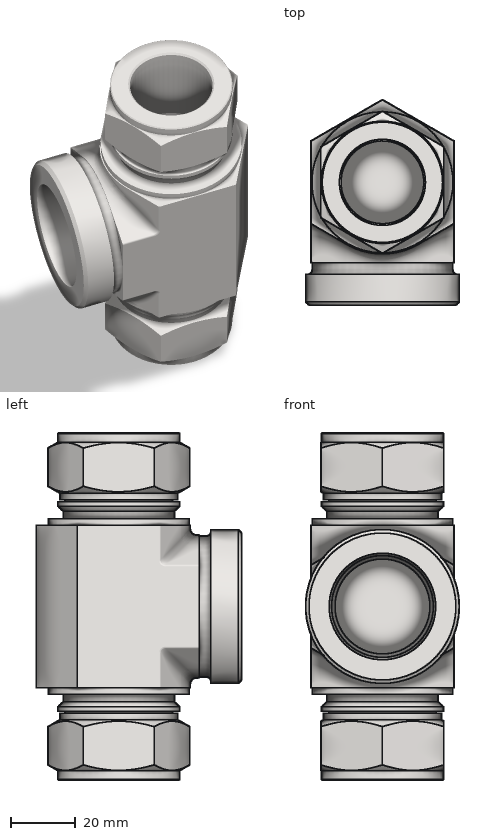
import cadquery as cq
import math


body_flats = 44.3
body_height = 50.3
body_front = 24.8
edge_radius = 0.6
valley_radius = 3.5 / 2
flat_angle = 30

overall_height = 107.5
flange_diameter = 43.6
flange_top = 27.2
neck_diameter = 34.5
neck_top = 29.5
collar_diameter = 37.8
collar_cone_top = 31.1
collar_top = 32.5
groove_diameter = 33.3
groove_top = 33.0
nut_base_diameter = 36.5
nut_bottom = 35.0
nut_top = 50.7
nut_flats = 38.0
nut_rim_diameter = 37.8
nut_rim_chamfer = 0.3
run_bore_diameter = 25.6
run_bore_chamfer = 0.5
run_bore_depth = 26.9

branch_end = 38.0
hub_diameter = 43.6
hub_end = 27.1
hub_fillet_radius = 2.7 / 2
ring_diameter = 47.6
ring_chamfer = 1.1
thread_mouth_diameter = 33.0
thread_end_diameter = 31.5
thread_depth = 20.9
branch_bore_diameter = 29.3
branch_bore_depth = 26.9

flat_slope = math.tan(math.radians(flat_angle))
shoulder = body_flats / 2 * flat_slope


def rounded_bar(length):
    """Bar along Z: straight sides, and a front toward -Y of two flats joined by a tangent arc."""
    half = body_flats / 2
    tangent_x = half * math.sin(math.radians(flat_angle))
    tangent_y = half * math.cos(math.radians(flat_angle))
    return (
        cq.Workplane("XY")
        .moveTo(-half, 0)
        .lineTo(-half, -shoulder)
        .lineTo(-tangent_x, -tangent_y)
        .threePointArc((0, -half), (tangent_x, -tangent_y))
        .lineTo(half, -shoulder)
        .lineTo(half, 0)
        .close()
        .extrude(length)
    )


def in_valley(edge):
    """True for an edge where the run and branch surfaces cross, at equal distances along -Y and Z."""
    tolerance = 0.01
    points = [edge.positionAt(t) for t in (0, 0.5, 1)]
    return all(p.y < -tolerance and abs(abs(p.z) + p.y) < tolerance for p in points)


def make_body():
    """Hexagonal bar with a branch of the same section, filleted where the two meet."""
    half = body_flats / 2
    run = rounded_bar(body_height).translate((0, 0, -body_height / 2))
    branch_half = rounded_bar(body_front).rotate((0, 0, 0), (1, 0, 0), 90)
    front = run.union(branch_half).union(branch_half.mirror("XY"))

    valleys = [edge for edge in front.edges().vals() if in_valley(edge)]
    front = front.newObject(valleys).fillet(valley_radius)

    margin = 0.1
    for side in (-1, 1):
        side_edges = cq.selectors.BoxSelector(
            (side * half - margin, -body_front + margin, -body_height / 2 + margin),
            (side * half + margin, -margin, body_height / 2 - margin),
        )
        front = front.edges(side_edges).fillet(edge_radius)

    back = (
        cq.Workplane("XY")
        .polyline([(-half, 0), (half, 0), (half, shoulder), (0, 2 * shoulder), (-half, shoulder)])
        .close()
        .extrude(body_height / 2, both=True)
    )
    return front.union(back)


def revolve_profile(points):
    """Solid of revolution about Z from (diameter, height) points, closed along the axis."""
    outline = [(diameter / 2, height) for diameter, height in points]
    ends = [(0, outline[-1][1]), (0, outline[0][1])]
    return cq.Workplane("XZ").polyline(outline + ends).close().revolve(360, (0, 0, 0), (0, 1, 0))


def make_nut():
    """Hexagon nut with a corner pointing along Y and both ends turned to 30 degree cones."""
    corner_diameter = nut_flats / math.cos(math.radians(flat_angle))
    lower_cone = (corner_diameter - nut_base_diameter) / 2 * flat_slope
    upper_cone = (corner_diameter - nut_rim_diameter) / 2 * flat_slope
    hexagon = (
        cq.Workplane("XY", origin=(0, 0, nut_bottom))
        .polygon(6, corner_diameter)
        .extrude(nut_top - nut_bottom)
        .rotate((0, 0, 0), (0, 0, 1), flat_angle)
    )
    cones = revolve_profile([
        (nut_base_diameter, nut_bottom),
        (corner_diameter, nut_bottom + lower_cone),
        (corner_diameter, nut_top - upper_cone),
        (nut_rim_diameter, nut_top),
    ])
    return hexagon.intersect(cones)


def make_run_end():
    """Flange, grooved neck, nut and rim of the upper run end, with its blind tube bore."""
    top = overall_height / 2
    turned = revolve_profile([
        (flange_diameter, body_height / 2),
        (flange_diameter, flange_top),
        (neck_diameter, flange_top),
        (neck_diameter, neck_top),
        (collar_diameter, collar_cone_top),
        (collar_diameter, collar_top),
        (groove_diameter, collar_top),
        (groove_diameter, groove_top),
        (nut_base_diameter, groove_top),
        (nut_base_diameter, nut_top),
        (nut_rim_diameter, nut_top),
        (nut_rim_diameter, top - nut_rim_chamfer),
        (nut_rim_diameter - 2 * nut_rim_chamfer, top),
    ])
    bore = revolve_profile([
        (run_bore_diameter, top - run_bore_depth),
        (run_bore_diameter, top - run_bore_chamfer),
        (run_bore_diameter + 2 * run_bore_chamfer, top),
    ])
    return turned.union(make_nut()).cut(bore)


def point_to_front(solid):
    """Turn a solid built along +Z so that it points along -Y."""
    return solid.rotate((0, 0, 0), (1, 0, 0), 90)


def make_branch_end():
    """Hub and chamfered ring at the mouth of the branch, with a concave fillet between them."""
    hub_radius = hub_diameter / 2
    ring_radius = ring_diameter / 2
    ring_back = hub_end + hub_fillet_radius
    arc_reach = hub_fillet_radius * math.sqrt(0.5)
    arc_middle = (hub_radius + hub_fillet_radius - arc_reach, hub_end + arc_reach)
    turned = (
        cq.Workplane("XZ")
        .moveTo(0, body_front)
        .lineTo(hub_radius, body_front)
        .lineTo(hub_radius, hub_end)
        .threePointArc(arc_middle, (hub_radius + hub_fillet_radius, ring_back))
        .lineTo(ring_radius, ring_back)
        .lineTo(ring_radius, branch_end - ring_chamfer)
        .lineTo(ring_radius - ring_chamfer, branch_end)
        .lineTo(0, branch_end)
        .close()
        .revolve(360, (0, 0, 0), (0, 1, 0))
    )
    return point_to_front(turned)


def make_branch_bore():
    """Tapered thread bore with a 45 degree step down to the flat-bottomed branch bore."""
    thread_end = branch_end - thread_depth
    step = (thread_end_diameter - branch_bore_diameter) / 2
    return point_to_front(revolve_profile([
        (branch_bore_diameter, branch_end - branch_bore_depth),
        (branch_bore_diameter, thread_end - step),
        (thread_end_diameter, thread_end),
        (thread_mouth_diameter, branch_end),
    ]))


run_end = make_run_end()
result = (
    make_body()
    .union(run_end)
    .union(run_end.mirror("XY"))
    .union(make_branch_end())
    .cut(make_branch_bore())
)